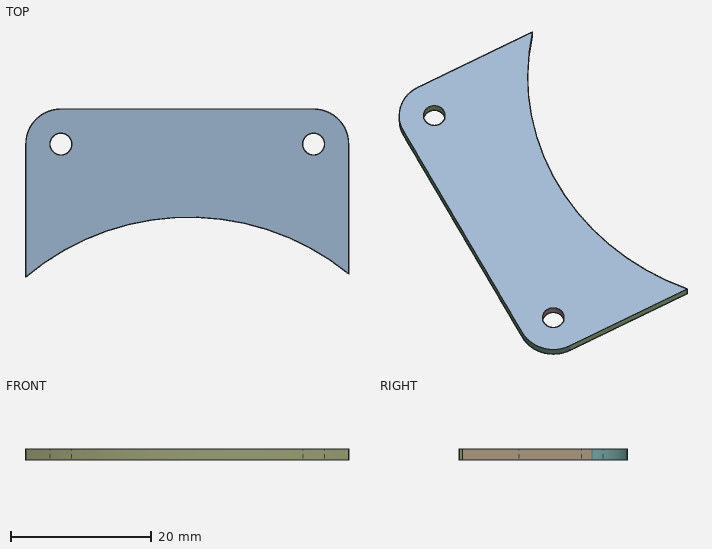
import cadquery as cq
import math

length = 46.0
left_side = 23.95
thickness = 1.6
corner_radius = 5.0

hole_diameter = 3.1

arc_radius = 36.0
arc_center_x = 0.28

half_length = length / 2
top_y = left_side / 2
left_tip_y = -left_side / 2
arc_center_y = left_tip_y - math.sqrt(arc_radius**2 - (half_length + arc_center_x)**2)
right_tip_y = arc_center_y + math.sqrt(arc_radius**2 - (half_length - arc_center_x)**2)
arc_crown = (arc_center_x, arc_center_y + arc_radius)

plate = (
    cq.Workplane("XY")
    .moveTo(-half_length, left_tip_y)
    .lineTo(-half_length, top_y)
    .lineTo(half_length, top_y)
    .lineTo(half_length, right_tip_y)
    .threePointArc(arc_crown, (-half_length, left_tip_y))
    .close()
    .extrude(thickness)
)

plate = plate.edges("|Z").edges(">Y").fillet(corner_radius)

hole_x = half_length - corner_radius
hole_y = top_y - corner_radius
holes = (
    cq.Workplane("XY")
    .pushPoints([(-hole_x, hole_y), (hole_x, hole_y)])
    .circle(hole_diameter / 2)
    .extrude(thickness)
)

result = plate.cut(holes)